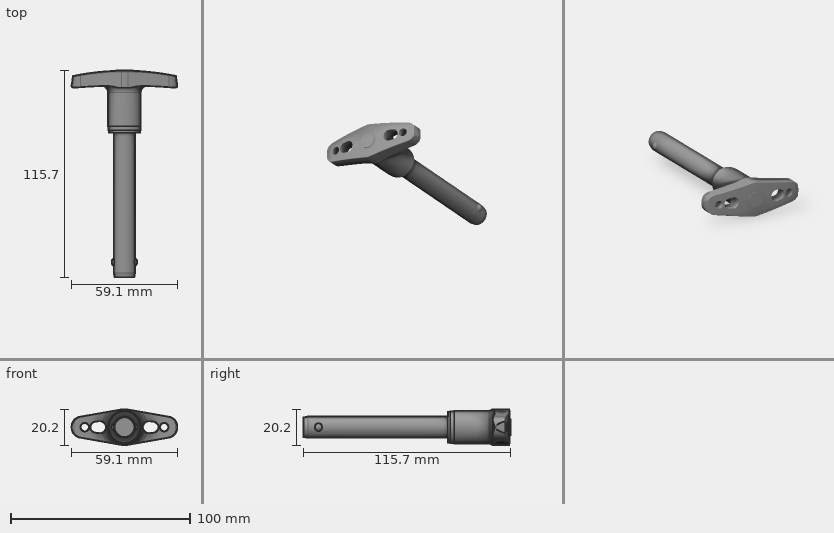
import cadquery as cq
import math


SHANK_RADIUS = 6.0
SHANK_LENGTH = 80.7
TIP_CHAMFER_LENGTH = 2.6
TIP_RADIUS = 5.5

BALL_RADIUS = 2.3
BALL_REACH = 7.2
BALL_Y = -72.2

END_STEP_RADIUS = 8.7
END_STEP_LENGTH = 1.4
MIDDLE_STEP_RADIUS = 9.0
MIDDLE_STEP_END = 3.5
SLEEVE_RADIUS = 9.2
SLEEVE_END = 22.7
NECK_FILLET = 3.4

HUB_RADIUS = 10.08
HANDLE_LENGTH = 59.1
END_RADIUS = 6.0

CROWN_Y = 34.7
CROWN_SPHERE_RADIUS = 138.0
CROWN_EDGE_FILLET = 0.3
UNDERSIDE_DROP = 1.0
UNDERSIDE_ARC_RADIUS = 330.0
RIM_TOP_RADIUS = 28.8
RIM_BOTTOM_RADIUS = 29.58
RIM_FILLET = 1.3

BUTTON_RADIUS = 4.5
BUTTON_TOP_Y = 35.0
BUTTON_DEPTH = 2.0

SLOT_INNER_X = 13.6
SLOT_INNER_RADIUS = 3.3
SLOT_OUTER_X = 15.9
SLOT_OUTER_RADIUS = 3.05
LANYARD_HOLE_X = 22.15
LANYARD_HOLE_RADIUS = 2.3

NECK_RADIUS = SLEEVE_RADIUS + NECK_FILLET
NECK_Y = SLEEVE_END + NECK_FILLET
RIM_BOTTOM_Y = NECK_Y - UNDERSIDE_DROP
PRISM_HEIGHT = BUTTON_TOP_Y


def dome_y(radius):
    """Height of the spherical crown at a distance from the pin axis."""
    sag = CROWN_SPHERE_RADIUS - math.sqrt(CROWN_SPHERE_RADIUS**2 - radius**2)
    return CROWN_Y - sag


def arc_middle(start, end, radius):
    """Middle of a shallow arc that bows to the left of the line from start to end."""
    dx = end[0] - start[0]
    dy = end[1] - start[1]
    chord = math.hypot(dx, dy)
    bow = radius - math.sqrt(radius**2 - (chord / 2)**2)
    mid_x = (start[0] + end[0]) / 2 - bow * dy / chord
    mid_y = (start[1] + end[1]) / 2 + bow * dx / chord
    return (mid_x, mid_y)


def tangent_prism(x1, r1, x2, r2):
    """Prism from Y = 0 toward +Y around two circles on the X axis (x1 < x2) and their common tangents."""
    lean = math.asin((r1 - r2) / (x2 - x1))
    ux = math.sin(lean)
    uz = math.cos(lean)
    return (
        cq.Workplane("XZ")
        .moveTo(x1 + r1 * ux, r1 * uz)
        .lineTo(x2 + r2 * ux, r2 * uz)
        .threePointArc((x2 + r2, 0), (x2 + r2 * ux, -r2 * uz))
        .lineTo(x1 + r1 * ux, -r1 * uz)
        .threePointArc((x1 - r1, 0), (x1 + r1 * ux, r1 * uz))
        .close()
        .extrude(-PRISM_HEIGHT)
    )


def pin_and_sleeve():
    """Shank with tapered tip and stepped sleeve, ending where the handle neck begins."""
    profile = [
        (0, -SHANK_LENGTH),
        (TIP_RADIUS, -SHANK_LENGTH),
        (SHANK_RADIUS, -SHANK_LENGTH + TIP_CHAMFER_LENGTH),
        (SHANK_RADIUS, 0),
        (END_STEP_RADIUS, 0),
        (END_STEP_RADIUS, END_STEP_LENGTH),
        (MIDDLE_STEP_RADIUS, END_STEP_LENGTH),
        (MIDDLE_STEP_RADIUS, MIDDLE_STEP_END),
        (SLEEVE_RADIUS, MIDDLE_STEP_END),
        (SLEEVE_RADIUS, SLEEVE_END),
        (0, SLEEVE_END),
    ]
    return cq.Workplane("XY").polyline(profile).close().revolve(360, (0, 0, 0), (0, 1, 0))


def handle_blank():
    """Turned disc: neck fillet, curved underside, tapered rim and spherical crown."""
    diagonal = NECK_FILLET * math.sqrt(0.5)
    rim_start = (RIM_BOTTOM_RADIUS - RIM_FILLET, RIM_BOTTOM_Y)
    rim_end = (RIM_BOTTOM_RADIUS, RIM_BOTTOM_Y + RIM_FILLET)
    rim_diagonal = RIM_FILLET * math.sqrt(0.5)
    crown_edge = (RIM_TOP_RADIUS, dome_y(RIM_TOP_RADIUS))
    return (
        cq.Workplane("XY")
        .moveTo(0, SLEEVE_END)
        .lineTo(SLEEVE_RADIUS, SLEEVE_END)
        .threePointArc((NECK_RADIUS - diagonal, SLEEVE_END + diagonal), (NECK_RADIUS, NECK_Y))
        .threePointArc(arc_middle((NECK_RADIUS, NECK_Y), rim_start, UNDERSIDE_ARC_RADIUS), rim_start)
        .threePointArc((rim_start[0] + rim_diagonal, rim_end[1] - rim_diagonal), rim_end)
        .lineTo(*crown_edge)
        .threePointArc((RIM_TOP_RADIUS / 2, dome_y(RIM_TOP_RADIUS / 2)), (0, CROWN_Y))
        .close()
        .revolve(360, (0, 0, 0), (0, 1, 0))
    )


def handle():
    """Turned blank trimmed to the long outline, with its button and arm holes."""
    end_x = HANDLE_LENGTH / 2 - END_RADIUS
    arm = tangent_prism(0, HUB_RADIUS, end_x, END_RADIUS)
    outline = arm.union(arm.mirror("YZ"))
    body = handle_blank().intersect(outline)
    body = body.faces(">Y").edges().fillet(CROWN_EDGE_FILLET)

    button_plane = cq.Workplane("XZ", origin=(0, BUTTON_TOP_Y, 0))
    body = body.union(button_plane.circle(BUTTON_RADIUS).extrude(BUTTON_DEPTH))

    slot = tangent_prism(SLOT_INNER_X, SLOT_INNER_RADIUS, SLOT_OUTER_X, SLOT_OUTER_RADIUS)
    lanyard_plane = cq.Workplane("XZ", origin=(LANYARD_HOLE_X, 0, 0))
    lanyard_hole = lanyard_plane.circle(LANYARD_HOLE_RADIUS).extrude(-PRISM_HEIGHT)
    for cutter in (slot, lanyard_hole):
        body = body.cut(cutter).cut(cutter.mirror("YZ"))
    return body


def locking_balls():
    """Two balls standing proud of the shank on opposite sides."""
    ball_x = BALL_REACH - BALL_RADIUS
    return cq.Workplane("XY").pushPoints([(-ball_x, BALL_Y), (ball_x, BALL_Y)]).sphere(BALL_RADIUS)


result = pin_and_sleeve().union(handle()).union(locking_balls())